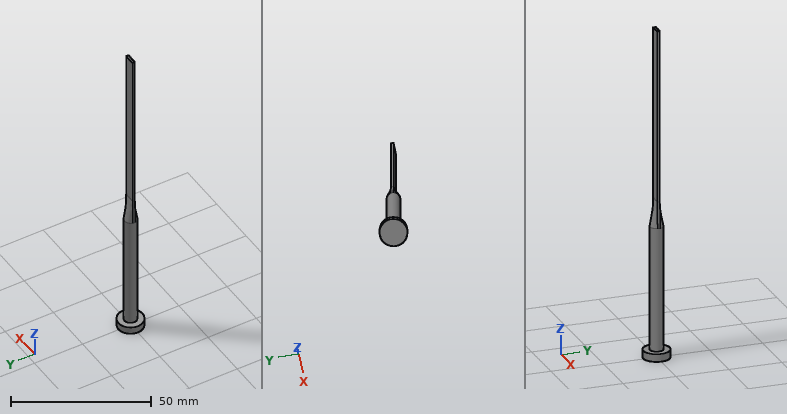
import cadquery as cq
import math

total_length = 125.0
head_height = 3.0
shank_top = 50.0
transition_length = 10.0
blade_start = shank_top + transition_length
blade_length = total_length - blade_start

head_diameter = 10.0
shank_diameter = 5.0
shank_radius = shank_diameter / 2
blade_width = 4.5
blade_thickness = 1.0


def make_head():
    return cq.Workplane("XY").circle(head_diameter / 2).extrude(head_height)


def make_shank():
    shank_length = shank_top - head_height
    return cq.Workplane("XY").workplane(offset=head_height).circle(shank_radius).extrude(shank_length)


def make_transition():
    """Blend the round shank into the flat blade, one circle arc per blade side."""
    corner_y = blade_thickness / 2
    corner_x = math.sqrt(shank_radius**2 - corner_y**2)
    return (
        cq.Workplane("XY")
        .workplane(offset=shank_top)
        .moveTo(-corner_x, -corner_y)
        .threePointArc((0, -shank_radius), (corner_x, -corner_y))
        .threePointArc((shank_radius, 0), (corner_x, corner_y))
        .threePointArc((0, shank_radius), (-corner_x, corner_y))
        .threePointArc((-shank_radius, 0), (-corner_x, -corner_y))
        .close()
        .workplane(offset=transition_length)
        .rect(blade_width, blade_thickness)
        .loft(ruled=True)
    )


def make_blade():
    return (
        cq.Workplane("XY")
        .workplane(offset=blade_start)
        .rect(blade_width, blade_thickness)
        .extrude(blade_length)
    )


result = make_head().union(make_shank()).union(make_transition()).union(make_blade())